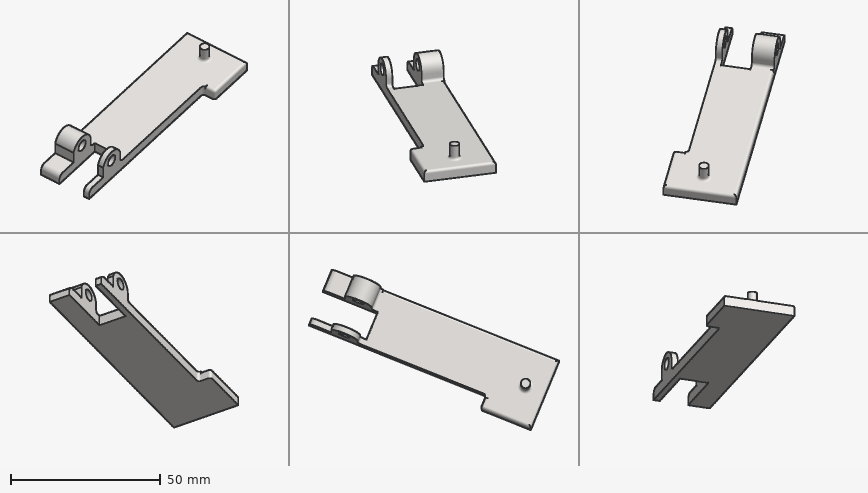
import cadquery as cq
import math

length = 82.3
head_width = 25.0
body_width = 20.1
thickness = 3.95
step_y = 64.1
edge_radius = 1.0

slot_left = 7.7
slot_right = 17.9
slot_end = 19.8
toe_radius = 2.0

lug_front = 8.0
lug_middle = 12.75
crown_radius = 4.9
lug_rear = lug_middle + crown_radius
lug_top = 12.0
crown_z = lug_top - crown_radius
front_shoulder = crown_z + math.sqrt(crown_radius**2 - (lug_middle - lug_front) ** 2)
lug_root_radius = 1.1
hinge_hole_diameter = 4.0
hinge_hole_z = 8.1

pin_diameter = 3.2
pin_top = 9.2
pin_x = head_width / 2
pin_y = 75.3


def make_plate():
    """L-shaped plate, rounded along the top edges of its left side and head."""
    plate = (
        cq.Workplane("XY")
        .moveTo(0, 0)
        .lineTo(body_width, 0)
        .lineTo(body_width, step_y)
        .lineTo(head_width, step_y)
        .lineTo(head_width, length)
        .lineTo(0, length)
        .close()
        .extrude(thickness)
    )
    for corner_x in (body_width, head_width):
        corner = cq.selectors.NearestToPointSelector((corner_x, step_y, thickness / 2))
        plate = plate.edges("|Z").edges(corner).fillet(edge_radius)

    rounded_edges = plate.faces("<X or >Y or >X").edges(">Z")
    head_front_middle = ((body_width + head_width) / 2, step_y, thickness)
    rounded_edges = rounded_edges.add(
        plate.edges(cq.selectors.NearestToPointSelector(head_front_middle))
    )
    plate = rounded_edges.fillet(edge_radius)

    half_body = body_width / 2
    sharp_strip = (
        cq.Workplane("XY")
        .moveTo(half_body, 0)
        .lineTo(body_width, 0)
        .lineTo(body_width, step_y - edge_radius)
        .radiusArc((body_width + edge_radius, step_y), edge_radius)
        .lineTo(body_width + edge_radius, step_y + edge_radius)
        .lineTo(half_body, step_y + edge_radius)
        .close()
        .extrude(thickness)
    )
    return plate.union(sharp_strip)


def make_arm(left, right):
    """Fork arm with a rounded toe and a crowned hinge lug."""
    root_start = lug_rear + lug_root_radius
    arm = (
        cq.Workplane("YZ", origin=(left, 0, 0))
        .moveTo(0, 0)
        .lineTo(0, thickness - toe_radius)
        .radiusArc((toe_radius, thickness), toe_radius)
        .lineTo(lug_front, thickness)
        .lineTo(lug_front, front_shoulder)
        .threePointArc((lug_middle, lug_top), (lug_rear, crown_z))
        .lineTo(lug_rear, thickness + lug_root_radius)
        .radiusArc((root_start, thickness), -lug_root_radius)
        .lineTo(root_start, 0)
        .close()
        .extrude(right - left)
    )
    hole = (
        cq.Workplane("YZ", origin=(left, lug_middle, hinge_hole_z))
        .circle(hinge_hole_diameter / 2)
        .extrude(right - left)
    )
    return arm.cut(hole)


def make_pin():
    """Pin with a concave flare where it meets the plate."""
    radius = pin_diameter / 2
    return (
        cq.Workplane("XZ")
        .moveTo(0, 0)
        .lineTo(radius + edge_radius, 0)
        .lineTo(radius + edge_radius, thickness)
        .radiusArc((radius, thickness + edge_radius), edge_radius)
        .lineTo(radius, pin_top)
        .lineTo(0, pin_top)
        .close()
        .revolve(360, (0, 0, 0), (0, 1, 0))
        .translate((pin_x, pin_y, 0))
    )


root_end = lug_rear + lug_root_radius
front_block = cq.Workplane("XY").box(body_width, root_end, thickness, centered=False)
slot = cq.Workplane("XY").box(slot_right - slot_left, slot_end, thickness, centered=False)

result = (
    make_plate()
    .cut(front_block)
    .cut(slot.translate((slot_left, 0, 0)))
    .union(make_arm(0, slot_left))
    .union(make_arm(slot_right, body_width))
    .union(make_pin())
)